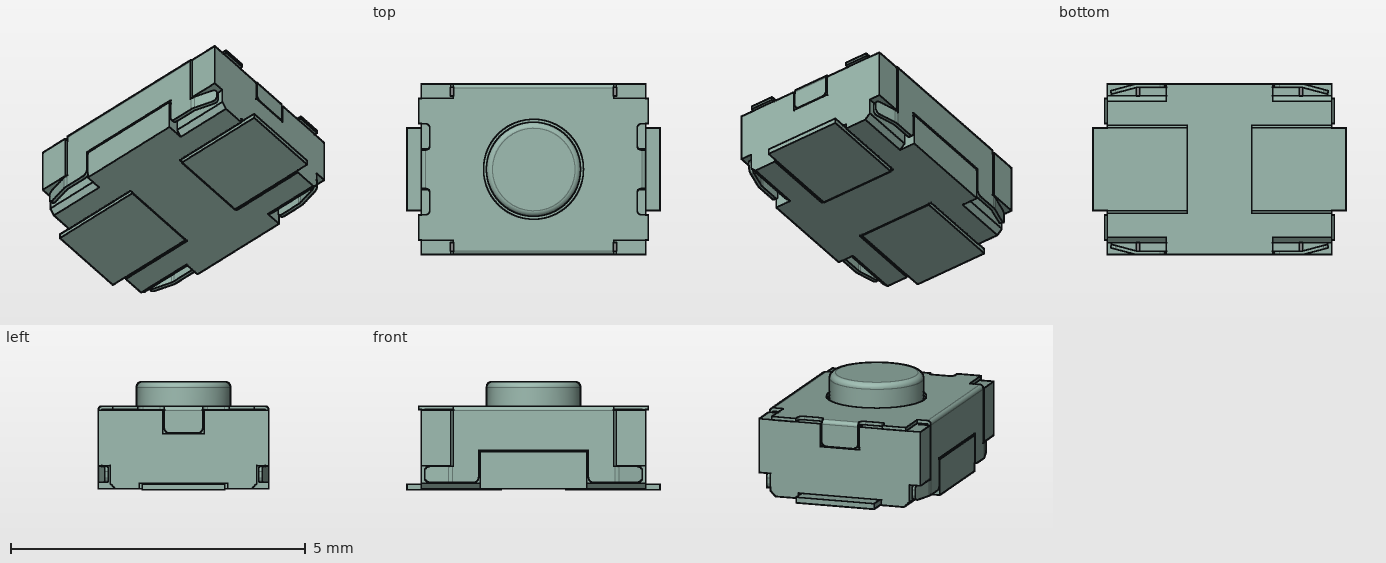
import cadquery as cq
import math

TOTAL_LENGTH = 4.3
TOTAL_WIDTH = 2.9
TOTAL_HEIGHT = 1.84
SHEET = 0.06
COVER_TOP = 1.425
COVER_UNDERSIDE = COVER_TOP - SHEET
CORNER_ROUND = 0.08
FOLD_RADIUS = 0.07
FOLD_END = COVER_TOP - FOLD_RADIUS

HOUSING_LENGTH = 3.81
HOUSING_BOTTOM = 0.017
HOUSING_TOP = 1.355
CORE_WIDTH = 2.495
CORE_CHAMFER = 0.095
POST_SPACING = 2.812
POST_BOTTOM = 0.413
BLOCK_LENGTH = 1.805
BLOCK_TOP = 0.645

BUTTON_DIAMETER = 1.6
BUTTON_HOLE_DIAMETER = 1.7
BUTTON_ROUND = 0.1

PLATE_LENGTH = 3.9
PLATE_WIDTH = 2.41
NOTCH_SPAN = 1.55
NOTCH_FLOOR_SPAN = 3.517

SKIRT_LENGTH = 2.718
SKIRT_BOTTOM = 0.13
SKIRT_BLOCK_GAP = 0.03

WING_TOP = 0.4
WING_BEND_START = 1.375
WING_TIP = 1.85
WING_ANGLE = 15.0
WING_BEND_RADIUS = 0.28

TAB_WIDTH = 0.65
TAB_BOTTOM = 0.968
TAB_SIDE_GAP = 0.025
TAB_END_GAP = 0.015
TAB_RECESS_DEPTH = 0.15

TERMINAL_WIDTH = 1.4
TERMINAL_THICKNESS = 0.1
TERMINAL_INNER_X = 0.545
TERMINAL_SIDE_GAP = 0.047
TERMINAL_TOP_GAP = 0.015


def block(x_range, y_range, z_range):
    """Axis-aligned box between the given pairs of limits."""
    (x0, x1), (y0, y1), (z0, z1) = x_range, y_range, z_range
    return cq.Workplane("XY").box(x1 - x0, y1 - y0, z1 - z0, centered=False).translate((x0, y0, z0))


def both_ways(length):
    """Limits of a length centred on zero."""
    return (-length / 2, length / 2)


def x_pair(shape):
    """A shape on the +X side and its mirror image on the -X side."""
    return [shape, shape.mirror("YZ")]


def y_pair(shape):
    """A shape on the -Y side and its mirror image on the +Y side."""
    return [shape, shape.mirror("XZ")]


def make_housing():
    body_heights = (HOUSING_BOTTOM, HOUSING_TOP)
    housing = block(both_ways(HOUSING_LENGTH), both_ways(CORE_WIDTH), body_heights)
    housing = housing.faces("<Z").edges("|X").chamfer(CORE_CHAMFER)

    housing = housing.union(
        block(both_ways(BLOCK_LENGTH), both_ways(TOTAL_WIDTH), (HOUSING_BOTTOM, BLOCK_TOP)))

    post = block(
        (POST_SPACING / 2, HOUSING_LENGTH / 2), both_ways(TOTAL_WIDTH), (POST_BOTTOM, HOUSING_TOP))
    for post_pair in x_pair(post):
        housing = housing.union(post_pair)

    tab_recess = block(
        (HOUSING_LENGTH / 2 - TAB_RECESS_DEPTH, HOUSING_LENGTH / 2),
        both_ways(TAB_WIDTH + 2 * TAB_SIDE_GAP),
        (TAB_BOTTOM - TAB_END_GAP, HOUSING_TOP))
    terminal_slot = block(
        (TERMINAL_INNER_X, HOUSING_LENGTH / 2),
        both_ways(TERMINAL_WIDTH + 2 * TERMINAL_SIDE_GAP),
        (0, TERMINAL_THICKNESS + TERMINAL_TOP_GAP))
    for cutter in x_pair(tab_recess) + x_pair(terminal_slot):
        housing = housing.cut(cutter)
    return housing


def make_plate():
    """Flat top of the cover with its corner tongues, edge notches and button hole."""
    plate_heights = (COVER_UNDERSIDE, COVER_TOP)
    plate = block(both_ways(PLATE_LENGTH), both_ways(PLATE_WIDTH), plate_heights)

    notch = block(
        (NOTCH_FLOOR_SPAN / 2, PLATE_LENGTH / 2), (TAB_WIDTH / 2, NOTCH_SPAN / 2), plate_heights)
    notch = notch.edges("|Z and <X").fillet(CORNER_ROUND)
    tab_gap = block((HOUSING_LENGTH / 2 - FOLD_RADIUS, PLATE_LENGTH / 2), both_ways(TAB_WIDTH), plate_heights)
    for side_notch in x_pair(notch):
        for cutter in y_pair(side_notch):
            plate = plate.cut(cutter)
    for cutter in x_pair(tab_gap):
        plate = plate.cut(cutter)

    hole = cq.Workplane("XY").workplane(offset=COVER_UNDERSIDE)
    hole = hole.circle(BUTTON_HOLE_DIAMETER / 2).extrude(SHEET)
    return plate.cut(hole)


def make_wing():
    """Wing at the +X end of the -Y skirt: a short flat, a bend and a straight tip."""
    angle = math.radians(WING_ANGLE)
    outer_y = -TOTAL_WIDTH / 2
    bend_centre_y = outer_y + WING_BEND_RADIUS
    inner_radius = WING_BEND_RADIUS - SHEET

    def on_bend(radius, turn):
        return (WING_BEND_START + radius * math.sin(turn), bend_centre_y - radius * math.cos(turn))

    outer_end = on_bend(WING_BEND_RADIUS, angle)
    tip_outer = (WING_TIP, outer_end[1] + (WING_TIP - outer_end[0]) * math.tan(angle))
    tip_inner = (tip_outer[0] - SHEET * math.sin(angle), tip_outer[1] + SHEET * math.cos(angle))
    root_x = SKIRT_LENGTH / 2

    wing = (
        cq.Workplane("XY").workplane(offset=SKIRT_BOTTOM)
        .moveTo(root_x, outer_y)
        .lineTo(WING_BEND_START, outer_y)
        .threePointArc(on_bend(WING_BEND_RADIUS, angle / 2), outer_end)
        .lineTo(*tip_outer)
        .lineTo(*tip_inner)
        .lineTo(*on_bend(inner_radius, angle))
        .threePointArc(on_bend(inner_radius, angle / 2), (WING_BEND_START, outer_y + SHEET))
        .lineTo(root_x, outer_y + SHEET)
        .close()
        .extrude(WING_TOP - SKIRT_BOTTOM)
    )
    tip_corners = wing.faces(">X").edges("not |Z")
    return tip_corners.fillet(CORNER_ROUND)


def make_fold(outer, length):
    """Quarter-round corner of sheet along Y, with its outer face at X = outer."""
    centre_x = outer - FOLD_RADIUS
    inner_radius = FOLD_RADIUS - SHEET

    def on_fold(radius, turn):
        return (centre_x + radius * math.cos(turn), FOLD_END + radius * math.sin(turn))

    halfway = math.radians(45)
    return (
        cq.Workplane("XZ", origin=(0, length / 2, 0))
        .moveTo(outer - SHEET, FOLD_END)
        .lineTo(outer, FOLD_END)
        .threePointArc(on_fold(FOLD_RADIUS, halfway), (centre_x, COVER_TOP))
        .lineTo(centre_x, COVER_UNDERSIDE)
        .threePointArc(on_fold(inner_radius, halfway), (outer - SHEET, FOLD_END))
        .close()
        .extrude(length)
    )


def make_skirt():
    """Skirt on the -Y side, joined to the plate by a rounded fold and carrying two wings."""
    outer_y = -TOTAL_WIDTH / 2
    inner_y = outer_y + SHEET
    opening_length = BLOCK_LENGTH + 2 * SKIRT_BLOCK_GAP
    opening_top = BLOCK_TOP + SKIRT_BLOCK_GAP

    skirt = block(both_ways(SKIRT_LENGTH), (outer_y, inner_y), (opening_top, FOLD_END))
    leg = block((opening_length / 2, SKIRT_LENGTH / 2), (outer_y, inner_y), (SKIRT_BOTTOM, opening_top))
    leg = leg.edges("|Y and <X and <Z").fillet(CORNER_ROUND)
    for part in x_pair(leg) + x_pair(make_wing()):
        skirt = skirt.union(part)

    fold = make_fold(TOTAL_WIDTH / 2, SKIRT_LENGTH).rotate((0, 0, 0), (0, 0, 1), -90)
    shelf = block(
        both_ways(SKIRT_LENGTH),
        (outer_y + FOLD_RADIUS, -PLATE_WIDTH / 2),
        (COVER_UNDERSIDE, COVER_TOP))
    return skirt.union(fold).union(shelf)


def make_tab():
    """Tab on the +X side with its rounded fold; the plate's edge meets the fold."""
    tab = block(
        (HOUSING_LENGTH / 2 - SHEET, HOUSING_LENGTH / 2),
        both_ways(TAB_WIDTH),
        (TAB_BOTTOM, FOLD_END))
    tab = tab.edges("|X and <Z").fillet(CORNER_ROUND)
    return tab.union(make_fold(HOUSING_LENGTH / 2, TAB_WIDTH))


def make_cover():
    cover = make_plate()
    for skirt in y_pair(make_skirt()):
        cover = cover.union(skirt)
    for tab in x_pair(make_tab()):
        cover = cover.union(tab)
    return cover


def make_button():
    button = cq.Workplane("XY").workplane(offset=HOUSING_TOP)
    button = button.circle(BUTTON_DIAMETER / 2).extrude(TOTAL_HEIGHT - HOUSING_TOP)
    return button.faces(">Z").edges().fillet(BUTTON_ROUND)


def make_terminal():
    """Flat terminal on the +X side."""
    return block(
        (TERMINAL_INNER_X, TOTAL_LENGTH / 2), both_ways(TERMINAL_WIDTH), (0, TERMINAL_THICKNESS))


housing = make_housing()
cover = make_cover()
button = make_button()
terminals = x_pair(make_terminal())

result = cq.Compound.makeCompound(
    [housing.val(), cover.val(), button.val(), *[terminal.val() for terminal in terminals]])